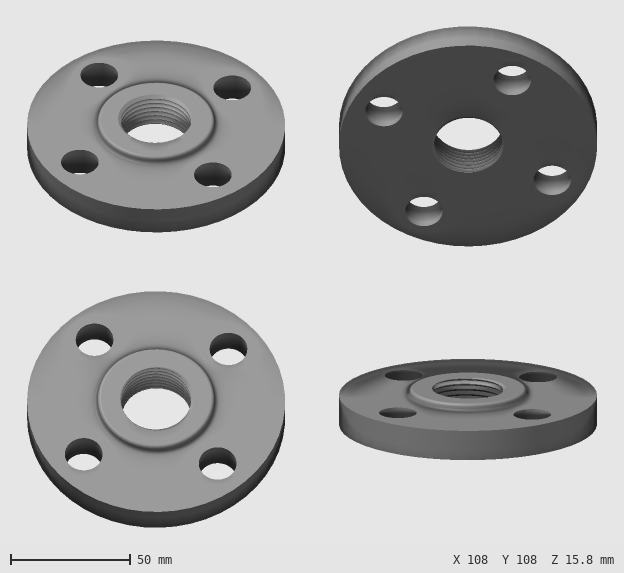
import cadquery as cq
import math

flange_radius = 54.0
flange_thickness = 12.7
total_height = 15.8

hub_foot_radius = 25.9
hub_draft = math.radians(10)
hub_round_radius = 1.4

bolt_hole_count = 4
bolt_hole_diameter = 15.8
bolt_circle_radius = 39.7

bore_radius_bottom = 14.2
taper_slope = 1 / 32
bore_overrun = 10.8
ten_turn_rise = 22.1
thread_pitch = ten_turn_rise / 10
thread_depth = 1.6
crest_flat = 0.2
groove_overlap = 0.1
root_exit_turns = 0.5
turns_below = 2
turns_above = 2


def bore_radius(z):
    """Thread crest radius at height z; the bore widens upwards."""
    return bore_radius_bottom + taper_slope * z


def make_body():
    """Disc and hub as one revolved profile."""
    sin_draft = math.sin(hub_draft)
    cos_draft = math.cos(hub_draft)
    arc_width = hub_round_radius * cos_draft
    arc_height = hub_round_radius * (1 - sin_draft)
    mid_angle = (math.pi / 2 - hub_draft) / 2
    mid_width = hub_round_radius * math.sin(mid_angle)
    mid_height = hub_round_radius * (1 - math.cos(mid_angle))

    blend_top = (hub_foot_radius - arc_width, flange_thickness + arc_height)
    rim_z = total_height - arc_height
    rim_radius = blend_top[0] - (rim_z - blend_top[1]) * math.tan(hub_draft)
    face_radius = rim_radius - arc_width

    return (
        cq.Workplane("XZ")
        .moveTo(0, 0)
        .lineTo(flange_radius, 0)
        .lineTo(flange_radius, flange_thickness)
        .lineTo(hub_foot_radius, flange_thickness)
        .threePointArc((hub_foot_radius - mid_width, flange_thickness + mid_height), blend_top)
        .lineTo(rim_radius, rim_z)
        .threePointArc((face_radius + mid_width, total_height - mid_height), (face_radius, total_height))
        .lineTo(0, total_height)
        .close()
        .revolve(360, (0, 0, 0), (0, 1, 0))
    )


def make_bolt_holes():
    """Bolt holes evenly spaced from +X."""
    return (
        cq.Workplane("XY")
        .polarArray(bolt_circle_radius, 0, 360, bolt_hole_count)
        .circle(bolt_hole_diameter / 2)
        .extrude(total_height)
    )


def make_bore():
    """Tapered bore at the thread crests, overrunning both faces."""
    bottom_z = -bore_overrun
    top_z = total_height + bore_overrun
    return cq.Workplane(
        cq.Solid.makeCone(
            bore_radius(bottom_z), bore_radius(top_z), top_z - bottom_z, cq.Vector(0, 0, bottom_z)
        )
    )


def make_thread_groove():
    """V-groove swept along a conical helix that overruns both faces."""
    turns_inside = math.floor(total_height / thread_pitch)
    start_z = total_height - (turns_inside + turns_below + root_exit_turns) * thread_pitch
    start_radius = bore_radius(start_z)
    height = (turns_inside + turns_below + turns_above) * thread_pitch
    helix = cq.Wire.makeHelix(
        thread_pitch, height, start_radius, angle=math.degrees(math.atan(taper_slope))
    ).translate(cq.Vector(0, 0, start_z))

    half_width = (thread_pitch - crest_flat) / 2 * (1 + groove_overlap / thread_depth)
    return (
        cq.Workplane("XZ")
        .moveTo(start_radius + thread_depth, start_z)
        .lineTo(start_radius - groove_overlap, start_z + half_width)
        .lineTo(start_radius - groove_overlap, start_z - half_width)
        .close()
        .sweep(cq.Workplane(helix), isFrenet=True)
    )


result = (
    make_body()
    .cut(make_bolt_holes())
    .cut(make_thread_groove())
    .cut(make_bore())
    .solids()
)